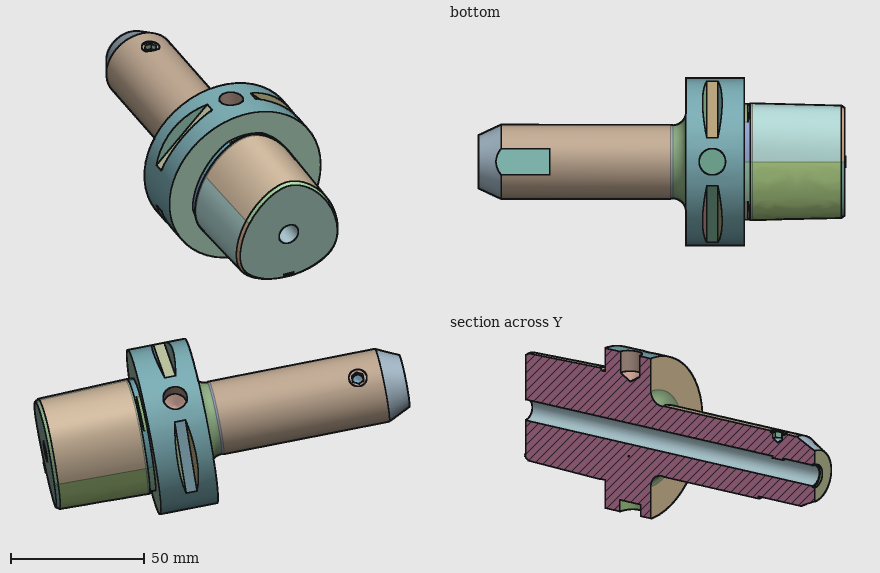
import cadquery as cq
import math

overall_length = 138.0

nose_diameter = 20.0
nose_cone_length = 8.5
body_diameter = 28.0
root_diameter = 27.6
root_fillet = 5.0
root_step_length = 0.8
nose_flat_distance = 13.1
nose_flat_end = 26.8

bore_diameter = 8.0
bore_mouth_diameter = 9.0
bore_mouth_depth = 1.1

screw_position = 17.8
screw_diameter = 6.8
screw_top = 13.4
socket_across_flats = 4.1
socket_depth = 2.2
screw_tip_diameter = 5.0
screw_tip_height = 3.3

flange_diameter = 63.0
flange_front = 78.0
flange_width = 22.0
flange_rear = flange_front + flange_width
feature_position = 87.9

slot_count = 4
slot_floor_distance = 27.7
slot_floor_width = 4.1
slot_wall_angle = 23.0

drill_diameter = 9.0
drill_depth = 8.3
drill_point_angle = 118.0
chip_hole_diameter = 10.0
chip_hole_depth = 4.5

end_mark_height = 0.3
end_mark_width = 4.0
end_mark_thickness = 0.8
end_mark_distance = 18.0

shank_diameter = 44.0
lobe_height = 1.4
lobe_count = 3
neck_inset = 0.1
neck_end = 102.1
taper_start = 103.0
shank_chamfer_length = 1.4
shank_chamfer_height = 1.0
shank_end = overall_length - end_mark_height
taper_end = shank_end - shank_chamfer_length
taper_ratio = 1 / 40
relief_diameter = 44.7
relief_end = 101.3
points_per_lobe = 25


def disc(radius, start, length):
    """Cylinder on the X axis."""
    return cq.Workplane("YZ", origin=(start, 0, 0)).circle(radius).extrude(length)


def radial_cone(radius, angle, x, z):
    """Drill point: a cone whose tip points down, with its base at height z."""
    height = radius / math.tan(math.radians(angle / 2))
    down = cq.Vector(0, 0, -1)
    return cq.Workplane(cq.Solid.makeCone(radius, 0, height, cq.Vector(x, 0, z), down))


def lobed_wire(x, mean_radius):
    """Constant-width lobed curve, one spline per lobe, joined where the curve is flattest."""
    span = 2 * math.pi / lobe_count

    def point(angle):
        support = mean_radius + lobe_height * math.cos(lobe_count * angle)
        slope = -lobe_count * lobe_height * math.sin(lobe_count * angle)
        y = support * math.sin(angle) + slope * math.cos(angle)
        z = support * math.cos(angle) - slope * math.sin(angle)
        return cq.Vector(x, y, z)

    def tangent(angle):
        return cq.Vector(0, math.cos(angle), -math.sin(angle))

    edges = []
    for lobe in range(lobe_count):
        start = (lobe - 0.5) * span
        angles = [start + span * i / (points_per_lobe - 1) for i in range(points_per_lobe)]
        ends = [tangent(angles[0]), tangent(angles[-1])]
        edges.append(cq.Edge.makeSpline([point(a) for a in angles], tangents=ends))
    return cq.Wire.assembleEdges(edges)


def lobed_section(start, start_radius, end, end_radius):
    """Lobed solid running straight from one mean radius to another."""
    wires = [lobed_wire(start, start_radius), lobed_wire(end, end_radius)]
    return cq.Workplane(cq.Solid.makeLoft(wires, True))


def turned_front():
    """Nose cone, cylinder, root fillet and flange as one revolved profile."""
    body_radius = body_diameter / 2
    root_radius = root_diameter / 2
    flange_radius = flange_diameter / 2
    fillet_start = flange_front - root_fillet
    arc_inset = root_fillet * math.sqrt(0.5)
    arc_middle = (fillet_start + arc_inset, root_radius + root_fillet - arc_inset)
    profile = (
        cq.Workplane("XY")
        .moveTo(0, 0)
        .lineTo(0, nose_diameter / 2)
        .lineTo(nose_cone_length, body_radius)
        .lineTo(fillet_start - root_step_length, body_radius)
        .lineTo(fillet_start, root_radius)
        .threePointArc(arc_middle, (flange_front, root_radius + root_fillet))
        .lineTo(flange_front, flange_radius)
        .lineTo(flange_rear, flange_radius)
        .lineTo(flange_rear, 0)
        .close()
    )
    return profile.revolve(360, (0, 0, 0), (1, 0, 0))


def lobed_shank():
    """Relieved neck, short straight land, taper and end chamfer."""
    radius = shank_diameter / 2
    end_radius = radius - taper_ratio * (taper_end - taper_start)
    tip_radius = end_radius - shank_chamfer_height
    lobe_radius = radius + lobe_height

    relief_envelope = disc(relief_diameter / 2, flange_rear, relief_end - flange_rear)
    runout_start = cq.Vector(relief_end, 0, 0)
    runout_length = neck_end - relief_end
    runout = cq.Solid.makeCone(
        relief_diameter / 2, lobe_radius, runout_length, runout_start, cq.Vector(1, 0, 0)
    )
    neck = lobed_section(flange_rear, radius - neck_inset, neck_end, radius - neck_inset)
    neck = neck.intersect(relief_envelope.union(cq.Workplane(runout)))

    land = lobed_section(neck_end, radius, taper_start, radius)
    taper = lobed_section(taper_start, radius, taper_end, end_radius)
    tip = lobed_section(taper_end, end_radius, shank_end, tip_radius)
    return neck.union(land).union(taper).union(tip)


def end_mark():
    """Raised bar near the lower edge of the rear end face."""
    on_face = cq.Workplane("YZ", origin=(shank_end, 0, -end_mark_distance))
    return on_face.rect(end_mark_width, end_mark_thickness).extrude(end_mark_height)


def nose_flat():
    """Block below the shallow flat underneath the nose."""
    on_flat = cq.Workplane("XY", origin=(0, 0, -nose_flat_distance))
    return on_flat.rect(2 * nose_flat_end, body_diameter).extrude(-body_diameter)


def central_bore():
    """Through bore with a slightly wider mouth at the nose."""
    bore = disc(bore_diameter / 2, 0, overall_length)
    return bore.union(disc(bore_mouth_diameter / 2, 0, bore_mouth_depth))


def clamping_screw_recess():
    """Round recess above the screw and the hexagon socket in its top."""
    at_screw = cq.Workplane("XY", origin=(screw_position, 0, screw_top))
    recess = at_screw.circle(screw_diameter / 2).extrude(body_diameter / 2 - screw_top)
    across_corners = socket_across_flats / math.cos(math.pi / 6)
    socket = at_screw.transformed(rotate=(0, 0, 90)).polygon(6, across_corners).extrude(-socket_depth)
    point = radial_cone(socket_across_flats / 2, drill_point_angle, screw_position, screw_top - socket_depth)
    return recess.union(socket).union(point)


def screw_tip():
    """End of the clamping screw reaching slightly into the bore."""
    tip = cq.Workplane("XY", origin=(screw_position, 0, screw_tip_height))
    return tip.circle(screw_tip_diameter / 2).extrude(bore_diameter / 2)


def gripper_slot():
    """Flat-bottomed slot with flared walls, cut along a chord at the top of the flange."""
    depth = flange_diameter / 2 - slot_floor_distance
    half_floor = slot_floor_width / 2
    half_mouth = half_floor + depth * math.tan(math.radians(slot_wall_angle))
    section = cq.Workplane("XZ", origin=(feature_position, 0, slot_floor_distance)).polyline(
        [(-half_floor, 0), (half_floor, 0), (half_mouth, depth), (-half_mouth, depth)]
    )
    return section.close().extrude(flange_diameter / 2, both=True)


def drilled_hole():
    """Blind hole with a drill point in the top of the flange."""
    bottom = flange_diameter / 2 - drill_depth
    at_bottom = cq.Workplane("XY", origin=(feature_position, 0, bottom))
    hole = at_bottom.circle(drill_diameter / 2).extrude(drill_depth)
    return hole.union(radial_cone(drill_diameter / 2, drill_point_angle, feature_position, bottom))


def chip_hole():
    """Flat-bottomed hole in the underside of the flange."""
    at_rim = cq.Workplane("XY", origin=(feature_position, 0, -flange_diameter / 2))
    return at_rim.circle(chip_hole_diameter / 2).extrude(chip_hole_depth)


holder = turned_front().union(lobed_shank()).union(end_mark())
for cutter in (nose_flat(), central_bore(), clamping_screw_recess(), drilled_hole(), chip_hole()):
    holder = holder.cut(cutter)
holder = holder.union(screw_tip())

slot_spacing = 360 / slot_count
for slot in range(slot_count):
    turn = (slot + 0.5) * slot_spacing
    holder = holder.cut(gripper_slot().rotate((0, 0, 0), (1, 0, 0), turn))

result = holder